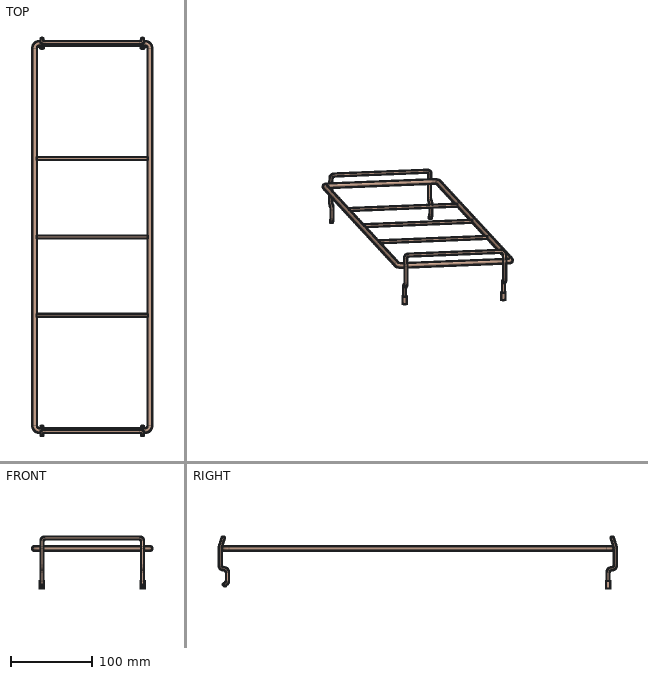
import cadquery as cq
import math

frame_width = 148.0
frame_rod_diameter = 6.0
frame_bend_radius = 6.0
rung_diameter = 4.0
rung_count = 3
rung_pitch = 96.6

overall_length = 490.99
overall_height = 64.3
wire_diameter = 4.0
leg_spacing = 124.0
top_bar_z = 13.0
corner_bend_radius = 4.0
tilt_start_z = 0.3
tilt_bend_radius = 6.0
tilt_angle = math.radians(18)
jog_start_z = -20.5
jog_bend_radius = 4.5
foot_start_z = -40.0

sleeve_diameter = 5.6
hook_bend_radius = 3.0
hook_angle = math.radians(45)
hook_straight = 5.0

quarter_turn = math.pi / 2
wire_radius = wire_diameter / 2
rod_radius = frame_rod_diameter / 2
side_rod_x = frame_width / 2 - rod_radius
leg_x = leg_spacing / 2
leg_y = overall_length / 2 - wire_radius
end_rod_y = leg_y - wire_radius - rod_radius
foot_y = leg_y - 2 * jog_bend_radius
sleeve_bottom_z = top_bar_z + wire_radius - overall_height


def make_frame():
    """Closed rounded-rectangle rod with cross rungs joined to its long sides."""
    path = cq.Workplane("XY").rect(2 * side_rod_x, 2 * end_rod_y).wires().val()
    path = path.fillet2D(frame_bend_radius, path.Vertices())
    section = cq.Workplane("XZ", origin=(side_rod_x, 0, 0)).circle(rod_radius)
    frame = section.sweep(cq.Workplane(path))
    for index in range(rung_count):
        rung_y = (index - (rung_count - 1) / 2) * rung_pitch
        rung = (
            cq.Workplane("YZ", origin=(-side_rod_x, rung_y, 0))
            .circle(rung_diameter / 2)
            .extrude(2 * side_rod_x)
        )
        frame = frame.union(rung)
    return frame


def bend(start, heading, radius, angle):
    """Arc in a YZ plane, turning by angle from a unit heading.

    Headings are angles from +Y towards +Z; a positive turn is counter-clockwise.
    Returns the arc edge, its end point and its end heading.
    """
    side = math.copysign(1, angle)

    def point(turn):
        dy = side * radius * (math.sin(heading + turn) - math.sin(heading))
        dz = side * radius * (math.cos(heading) - math.cos(heading + turn))
        return start + cq.Vector(0, dy, dz)

    end = point(angle)
    return cq.Edge.makeThreePointArc(start, point(angle / 2), end), end, heading + angle


def straight(start, heading, length):
    """Straight edge in a YZ plane along a heading, with its end point."""
    end = start + cq.Vector(0, length * math.cos(heading), length * math.sin(heading))
    return cq.Edge.makeLine(start, end), end


def leg_path(x, hooked):
    """Path of half a bail: from the middle of the top bar round one corner and down the leg.

    Returns the path and its starting point.
    """
    up = quarter_turn
    down = -quarter_turn

    tilt_start = cq.Vector(x, leg_y, tilt_start_z)
    tilt, tilt_end, heading = bend(tilt_start, up, tilt_bend_radius, tilt_angle)
    rise_length = (top_bar_z - tilt_end.z) / math.sin(heading) - corner_bend_radius
    rise, rise_end = straight(tilt_end, heading, rise_length)

    along_leg = cq.Vector(0, math.cos(heading), math.sin(heading))
    towards_middle = cq.Vector(-math.copysign(1, x), 0, 0)
    corner_centre = rise_end + towards_middle * corner_bend_radius
    corner_end = corner_centre + along_leg * corner_bend_radius
    corner_middle = corner_centre + (along_leg - towards_middle).normalized() * corner_bend_radius
    corner = cq.Edge.makeThreePointArc(corner_end, corner_middle, rise_end)
    bar_middle = cq.Vector(0, corner_end.y, corner_end.z)
    half_bar = cq.Edge.makeLine(bar_middle, corner_end)

    upper_leg, end = straight(tilt_start, down, tilt_start_z - jog_start_z)
    jog_in, end, heading = bend(end, down, jog_bend_radius, -quarter_turn)
    jog_out, end, heading = bend(end, heading, jog_bend_radius, quarter_turn)
    lower_leg, end = straight(end, down, end.z - foot_start_z)
    edges = [half_bar, corner, rise, tilt, upper_leg, jog_in, jog_out, lower_leg]

    if hooked:
        hook_bend, end, heading = bend(end, down, hook_bend_radius, hook_angle)
        hook_tip, _ = straight(end, heading, hook_straight)
        edges += [hook_bend, hook_tip]
    return cq.Wire.assembleEdges(edges), bar_middle


def make_bail(hooked):
    """Bent wire bail at the +Y end: a tilted top bar and two jogged legs."""
    path, bar_middle = leg_path(leg_x, hooked)
    section = cq.Workplane("YZ", origin=bar_middle.toTuple()).circle(wire_radius)
    half = section.sweep(cq.Workplane(path))
    return half.union(half.mirror("YZ")).clean()


def make_rear_bail():
    """Bail at the +Y end, with a round sleeve on the foot of each leg."""
    bail = make_bail(hooked=False)
    for x in (-leg_x, leg_x):
        sleeve = (
            cq.Workplane("XY", origin=(x, foot_y, sleeve_bottom_z))
            .circle(sleeve_diameter / 2)
            .extrude(foot_start_z - sleeve_bottom_z)
        )
        bail = bail.union(sleeve)
    return bail


def make_front_bail():
    """Bail at the -Y end, with hooked feet."""
    return make_bail(hooked=True).mirror("XZ")


frame = make_frame()
rear_bail = make_rear_bail()
front_bail = make_front_bail()

result = cq.Compound.makeCompound([frame.val(), rear_bail.val(), front_bail.val()])